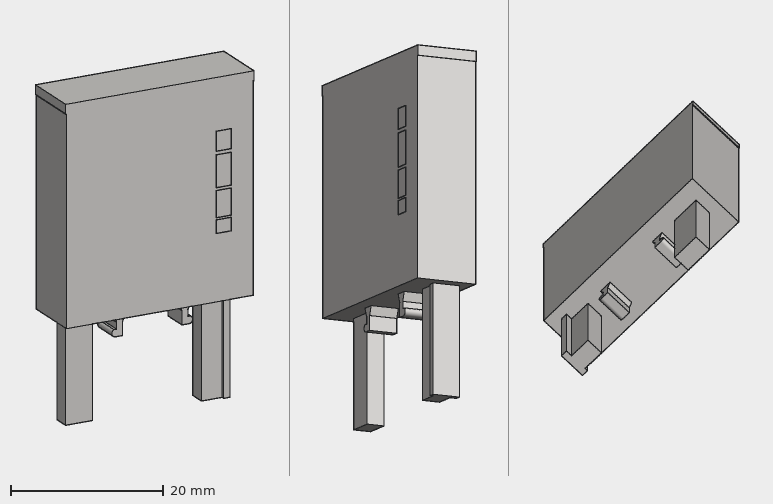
import cadquery as cq
import math


case_thickness = 8.6
case_width = 27.8
case_height = 30.0
lid_width = 28.0
lid_height = 1.4

leg_length = 15.0
leg_thickness = 2.5
leg_width = 4.0
leg_start_x = 2.45
leg_center_y = 10.1

flange_start_x = 1.5
flange_end_x = 5.4
flange_thickness = 0.95

hook_end_x = 6.45
hook_thickness = hook_end_x - leg_start_x
hook_length = 3.25
hook_inner_y = 4.4
hook_outer_y = 5.3
hook_flare = 0.45
hook_flare_height = 1.25
hook_tip_radius = 0.55
hook_ledge_depth = 2.2
hook_tip_y = 6.02

pad_relief = 0.1
pad_center_y = 9.45
pad_width = 2.2
pad_spans = [(9.6, 11.5), (11.8, 15.6), (16.0, 20.6), (21.1, 23.9)]


def block(x_start, x_end, y_start, y_end, z_start, z_end):
    """Box between the given limits."""
    size = (x_end - x_start, y_end - y_start, z_end - z_start)
    return cq.Workplane("XY").box(*size, centered=False).translate((x_start, y_start, z_start))


def make_case():
    """Rectangular case with a slightly wider lid on top."""
    body = block(0, case_thickness, -case_width / 2, case_width / 2, 0, case_height)
    lid_top = case_height + lid_height
    lid = block(0, case_thickness, -lid_width / 2, lid_width / 2, case_height, lid_top)
    return body.union(lid)


def make_leg(side):
    """Plain rectangular leg at the +Y (side = 1) or -Y (side = -1) end."""
    y_start = side * leg_center_y - leg_width / 2
    leg_end_x = leg_start_x + leg_thickness
    return block(leg_start_x, leg_end_x, y_start, y_start + leg_width, -leg_length, 0)


def make_flange():
    """Flange flush with the outer face of the +Y leg, standing out on both sides in X."""
    y_end = leg_center_y + leg_width / 2
    return block(flange_start_x, flange_end_x, y_end - flange_thickness, y_end, -leg_length, 0)


def make_hook(side):
    """Snap hook with a flared root and a half-round tip pointing outward along Y."""
    tip_center_y = hook_tip_y - hook_tip_radius
    tip_center_z = hook_tip_radius - hook_length
    ledge_height = -hook_ledge_depth - tip_center_z
    ledge_end_y = tip_center_y + math.sqrt(hook_tip_radius**2 - ledge_height**2)
    profile = (
        cq.Workplane("YZ", origin=(leg_start_x, 0, 0))
        .moveTo(side * (hook_inner_y - hook_flare), 0)
        .lineTo(side * hook_inner_y, -hook_flare_height)
        .lineTo(side * hook_inner_y, -hook_length)
        .lineTo(side * tip_center_y, -hook_length)
        .threePointArc((side * hook_tip_y, tip_center_z), (side * ledge_end_y, -hook_ledge_depth))
        .lineTo(side * hook_outer_y, -hook_ledge_depth)
        .lineTo(side * hook_outer_y, -hook_flare_height)
        .lineTo(side * (hook_outer_y + hook_flare), 0)
        .close()
    )
    return profile.extrude(hook_thickness)


def make_pad(bottom, top):
    """Thin raised pad on the +X face of the case."""
    y_start = pad_center_y - pad_width / 2
    pad_end_x = case_thickness + pad_relief
    return block(case_thickness, pad_end_x, y_start, y_start + pad_width, bottom, top)


result = make_case()
for side in (-1, 1):
    result = result.union(make_leg(side)).union(make_hook(side))
result = result.union(make_flange())
for pad_bottom, pad_top in pad_spans:
    result = result.union(make_pad(pad_bottom, pad_top))